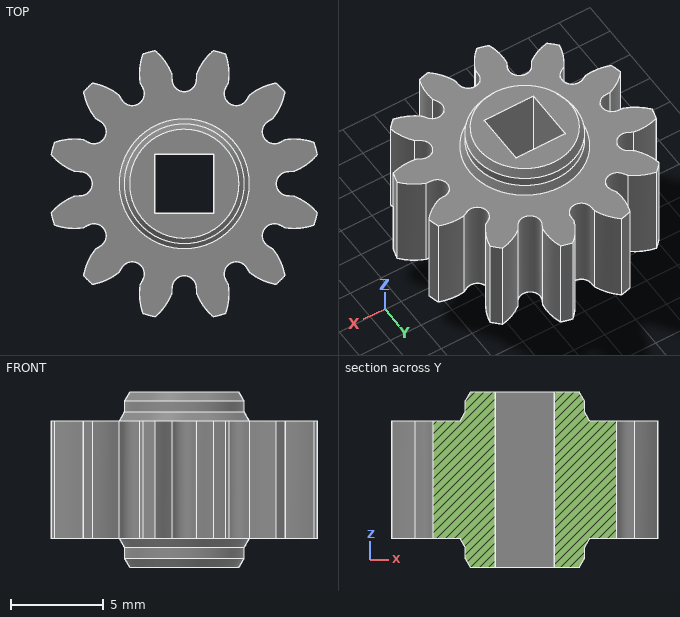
import cadquery as cq
import math

outer_size = 14.47
total_height = 9.54
gear_height = 6.4
square_hole = 3.18

tooth_count = 12
pitch_angle = 360 / tooth_count
tip_half_angle = 2.7
tip_radius = outer_size / 2 / math.cos(math.radians(pitch_angle / 2 - tip_half_angle))

root_radius = 5.0
gap_half_width = 0.65
flank_start = (0.67, 5.96)
flank_middle = (1.01, 6.61)

hub_radius = 3.25
hub_base_radius = 3.53
hub_end_radius = 2.97
cone_height = 0.49


def polar(radius, degrees):
    angle = math.radians(degrees)
    return (radius * math.cos(angle), radius * math.sin(angle))


def gap_point(sideways, outward, gap_angle):
    """Place a point given relative to the gap centreline at gap_angle."""
    angle = math.radians(gap_angle)
    x = outward * math.cos(angle) - sideways * math.sin(angle)
    y = outward * math.sin(angle) + sideways * math.cos(angle)
    return (x, y)


def gear():
    tip_to_gap = pitch_angle / 2 - tip_half_angle
    root_centre = root_radius + gap_half_width
    outline = cq.Workplane("XY").workplane(offset=-gear_height / 2)
    outline = outline.moveTo(*polar(tip_radius, -tip_to_gap))
    for index in range(tooth_count):
        gap_angle = index * pitch_angle

        def place(sideways, outward):
            return gap_point(sideways, outward, gap_angle)

        outline = (
            outline
            .threePointArc(place(-flank_middle[0], flank_middle[1]), place(-flank_start[0], flank_start[1]))
            .lineTo(*place(-gap_half_width, root_centre))
            .threePointArc(place(0, root_radius), place(gap_half_width, root_centre))
            .lineTo(*place(*flank_start))
            .threePointArc(place(*flank_middle), polar(tip_radius, gap_angle + tip_to_gap))
        )
        if index < tooth_count - 1:
            next_corner = polar(tip_radius, gap_angle + pitch_angle - tip_to_gap)
        else:
            next_corner = polar(tip_radius, -tip_to_gap)
        tip_middle = polar(tip_radius, gap_angle + pitch_angle / 2)
        outline = outline.threePointArc(tip_middle, next_corner)
    return outline.close().extrude(gear_height)


def hub():
    end = total_height / 2
    face = gear_height / 2
    profile = [
        (0, -end),
        (hub_end_radius, -end),
        (hub_radius, -end + cone_height),
        (hub_radius, -face - cone_height),
        (hub_base_radius, -face),
        (hub_base_radius, face),
        (hub_radius, face + cone_height),
        (hub_radius, end - cone_height),
        (hub_end_radius, end),
        (0, end),
    ]
    return cq.Workplane("XZ").polyline(profile).close().revolve(360, (0, 0), (0, 1))


bore = cq.Workplane("XY").box(square_hole, square_hole, total_height)
result = gear().union(hub()).cut(bore)